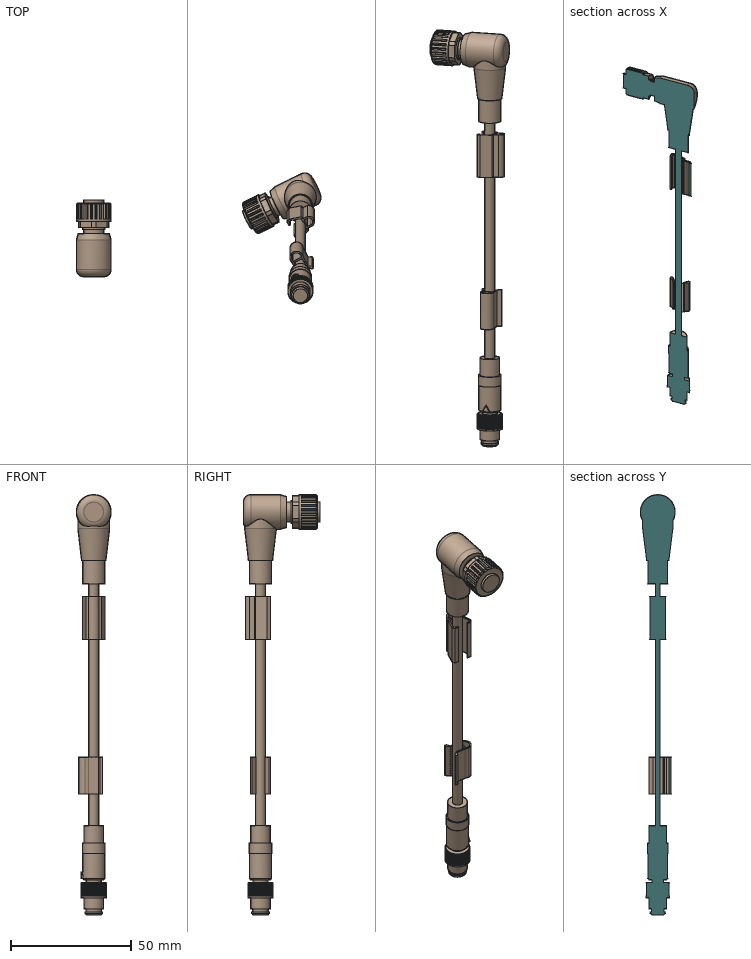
import cadquery as cq
import math

TOTAL_HEIGHT = 174.6
HEAD_DIAMETER = 14.5
HEAD_RADIUS = HEAD_DIAMETER / 2
HEAD_Z = TOTAL_HEIGHT - HEAD_RADIUS
CABLE_RADIUS = 2.1

HEAD_BACK_Y = -7.2
HEAD_BACK_FILLET = 3.1
HEAD_STRAIGHT_END_Y = 8.2
HEAD_FRONT_Y = 10.8
HEAD_FRONT_RADIUS = 6.5
HEAD_NECK_RADIUS = 4.2
PLUG_FACE_Y = 24.8

THRUST_RING_Y = 12.5
THRUST_RING_RADIUS = 4.7
COLLAR_Y = 13.3
COLLAR_RADIUS = 6.8
COLLAR_FLATS = 6
COLLAR_ACROSS_FLATS = 12.5
GRIP_Y = 15.9
GRIP_BAND = 1.0
GRIP_END_Y = 23.5
GRIP_CHAMFER = 0.5
GRIP_RIDGES = 24
GRIP_GROOVE_WIDTH = 0.9
GRIP_GROOVE_DEPTH = 0.5

BOOT_SHOULDER_Z = 160.5
BOOT_SHOULDER_RADIUS = 6.6
BOOT_TAPER_END_Z = 147.2
BOOT_TAPER_END_RADIUS = 5.0
BOOT_SLEEVE_DIAMETER = 9.3
BOOT_SLEEVE_RADIUS = BOOT_SLEEVE_DIAMETER / 2
BOOT_END_Z = 137.5

CLIP_WALL = 0.7
UPPER_CLIP_BOTTOM_Z = 114.4
UPPER_CLIP_LENGTH = 18.0
LOWER_CLIP_BOTTOM_Z = 50.3
LOWER_CLIP_LENGTH = 15.4

SLEEVE_TOP_Z = 37.2
SLEEVE_DIAMETER = 8.2
SLEEVE_RADIUS = SLEEVE_DIAMETER / 2
BODY_TOP_Z = 29.9
BODY_BAND_Z = 25.7
BODY_BAND_RADIUS = 4.7
BODY_DIAMETER = 9.3
BODY_RADIUS = BODY_DIAMETER / 2
BODY_BOTTOM_Z = 14.7
BODY_CHAMFER = 0.5
WAIST_RADIUS = 3.1
RING_TOP_Z = 13.6
RING_BOTTOM_Z = 7.2
RING_RADIUS = 5.2
RING_BAND = 0.7
RING_CHAMFER = 0.3
RING_RIDGES = 40
RING_GROOVE_WIDTH = 0.44
RING_GROOVE_DEPTH = 0.3
SPIGOT_RADIUS = SLEEVE_RADIUS
SPIGOT_END_Z = 2.6
TIP_RADIUS = 3.7
TIP_CHAMFER = 0.7
TIP_GROOVE_BOTTOM_Z = 1.4
TIP_GROOVE_DEPTH = 0.3

ARROW_TIP_Z = 18.0
ARROW_BASE_Z = BODY_BOTTOM_Z + BODY_CHAMFER
ARROW_HALF_WIDTH = 1.5
ARROW_OUTER_X = 5.2


def cylinder(radius, bottom, top):
    """Cylinder on the Z axis between two heights."""
    return cq.Workplane("XY").workplane(offset=bottom).circle(radius).extrude(top - bottom)


def knurl(blank, radius, bottom, top, count, width, depth):
    """Cut evenly spaced V grooves along Z into a round blank."""
    half_angle = width / 2 / radius
    groove_floor = radius - depth
    mouth_radius = radius + depth
    mouth_x = mouth_radius * math.cos(2 * half_angle)
    mouth_y = mouth_radius * math.sin(2 * half_angle)
    groove = (
        cq.Workplane("XY").workplane(offset=bottom)
        .polyline([(groove_floor, 0), (mouth_x, -mouth_y), (mouth_x, mouth_y)]).close()
        .extrude(top - bottom)
    )
    pitch = 360 / count
    cutters = cq.Workplane("XY")
    for index in range(count):
        cutters = cutters.add(groove.rotate((0, 0, 0), (0, 0, 1), (index + 0.5) * pitch).vals())
    return blank.cut(cq.Workplane(cq.Compound.makeCompound(cutters.vals())))


def along_head(solid):
    """Lay a solid built along +Z down so that it points along +Y at head height."""
    return solid.rotate((0, 0, 0), (1, 0, 0), -90).translate((0, 0, HEAD_Z))


def make_union_nut():
    thrust_ring = cylinder(THRUST_RING_RADIUS, THRUST_RING_Y, COLLAR_Y)
    hexagon = (
        cq.Workplane("XY").workplane(offset=COLLAR_Y)
        .polygon(COLLAR_FLATS, COLLAR_ACROSS_FLATS, circumscribed=True)
        .extrude(GRIP_Y - COLLAR_Y)
    )
    collar = cylinder(COLLAR_RADIUS, COLLAR_Y, GRIP_Y).intersect(hexagon)
    grip = cylinder(HEAD_RADIUS, GRIP_Y, GRIP_END_Y).faces(">Z").chamfer(GRIP_CHAMFER)
    grip = knurl(grip, HEAD_RADIUS, GRIP_Y + GRIP_BAND, GRIP_END_Y,
                 GRIP_RIDGES, GRIP_GROOVE_WIDTH, GRIP_GROOVE_DEPTH)
    return thrust_ring.union(collar).union(grip)


def make_head():
    shell = cylinder(HEAD_RADIUS, HEAD_BACK_Y, HEAD_STRAIGHT_END_Y)
    shell = shell.faces("<Z").edges().fillet(HEAD_BACK_FILLET)
    front = (
        cq.Workplane("XZ")
        .moveTo(0, HEAD_STRAIGHT_END_Y)
        .lineTo(HEAD_RADIUS, HEAD_STRAIGHT_END_Y)
        .lineTo(HEAD_FRONT_RADIUS, HEAD_FRONT_Y)
        .lineTo(0, HEAD_FRONT_Y)
        .close()
        .revolve(360, (0, 0, 0), (0, 1, 0))
    )
    neck = cylinder(HEAD_NECK_RADIUS, 0, PLUG_FACE_Y)
    return along_head(shell.union(front).union(neck).union(make_union_nut()))


def make_boot():
    profile = [
        (0, HEAD_Z),
        (BOOT_SHOULDER_RADIUS, HEAD_Z),
        (BOOT_SHOULDER_RADIUS, BOOT_SHOULDER_Z),
        (BOOT_TAPER_END_RADIUS, BOOT_TAPER_END_Z),
        (BOOT_SLEEVE_RADIUS, BOOT_TAPER_END_Z),
        (BOOT_SLEEVE_RADIUS, BOOT_END_Z),
        (0, BOOT_END_Z),
    ]
    return cq.Workplane("XZ").polyline(profile).close().revolve(360, (0, 0, 0), (0, 1, 0))


def mirrored_outline(side_points, front_y):
    """Closed face from the +X side points, front to back, bowed forward to front_y."""
    first_x, first_y = side_points[0]
    outline = cq.Workplane("XY").moveTo(-first_x, first_y)
    outline = outline.threePointArc((0, front_y), (first_x, first_y))
    for point in side_points[1:]:
        outline = outline.lineTo(*point)
    for x, y in reversed(side_points[1:]):
        outline = outline.lineTo(-x, y)
    return outline.close()


def make_upper_clip():
    """Holder with a bowed label pocket at the front and a box behind it, open at the back."""
    front_y = -6.3
    back_y = 4.2
    half_width = 4.7
    back_half_width = 4.0
    pocket_half_width = 2.3
    pocket_edge_y = -4.5
    pocket_back_y = -2.5
    shoulder = (3.3, -2.1)
    side_edge_y = 2.8
    opening_half_width = 2.3
    outline = mirrored_outline(
        [
            (pocket_half_width, pocket_edge_y),
            (pocket_half_width, pocket_back_y),
            shoulder,
            (half_width, side_edge_y),
            (back_half_width, back_y),
        ],
        front_y,
    )
    clip = outline.extrude(UPPER_CLIP_LENGTH)
    pocket = mirrored_outline(
        [
            (pocket_half_width - CLIP_WALL, pocket_edge_y + CLIP_WALL),
            (pocket_half_width - CLIP_WALL, pocket_back_y),
        ],
        front_y + CLIP_WALL,
    ).extrude(UPPER_CLIP_LENGTH)
    chamber_front_y = pocket_back_y + CLIP_WALL
    chamber = (
        cq.Workplane("XY")
        .polyline([
            (-shoulder[0] + CLIP_WALL, chamber_front_y),
            (shoulder[0] - CLIP_WALL, chamber_front_y),
            (half_width - CLIP_WALL, side_edge_y),
            (back_half_width - CLIP_WALL, back_y - CLIP_WALL),
            (-back_half_width + CLIP_WALL, back_y - CLIP_WALL),
            (-half_width + CLIP_WALL, side_edge_y),
        ]).close()
        .extrude(UPPER_CLIP_LENGTH)
    )
    opening = cq.Workplane("XY").rect(2 * opening_half_width, 2 * back_y).extrude(UPPER_CLIP_LENGTH)
    opening = opening.translate((0, back_y, 0))
    clip = clip.cut(pocket).cut(chamber).cut(opening)
    return clip.translate((0, 0, UPPER_CLIP_BOTTOM_Z))


def make_lower_clip():
    """Snap clip with a bowed label pocket facing -X and flared lips facing +X."""
    front_y = -6.3
    back_y = 3.7
    pocket_half_width = 2.8
    pocket_back_y = -3.7
    grip_half_width = 2.6
    neck_y = -2.1
    lip_start_y = 2.0
    lip_edge_y = 2.6
    lip_half_width = 4.2
    outline = mirrored_outline(
        [
            (pocket_half_width, pocket_back_y),
            (grip_half_width, neck_y),
            (grip_half_width, lip_start_y),
            (lip_half_width, lip_edge_y),
            (lip_half_width, back_y),
        ],
        front_y,
    )
    clip = outline.extrude(LOWER_CLIP_LENGTH)
    pocket = mirrored_outline(
        [
            (pocket_half_width - CLIP_WALL, pocket_back_y),
            (grip_half_width - CLIP_WALL, neck_y - CLIP_WALL),
        ],
        front_y + CLIP_WALL,
    ).extrude(LOWER_CLIP_LENGTH)
    opening = (
        cq.Workplane("XY")
        .polyline([
            (-grip_half_width + CLIP_WALL, neck_y),
            (grip_half_width - CLIP_WALL, neck_y),
            (grip_half_width - CLIP_WALL, lip_start_y),
            (lip_half_width - CLIP_WALL, back_y),
            (-lip_half_width + CLIP_WALL, back_y),
            (-grip_half_width + CLIP_WALL, lip_start_y),
        ]).close()
        .extrude(LOWER_CLIP_LENGTH)
    )
    clip = clip.cut(pocket).cut(opening).rotate((0, 0, 0), (0, 0, 1), -90)
    return clip.translate((0, 0, LOWER_CLIP_BOTTOM_Z))


def make_arrow():
    """Triangular pip that points up on the -X side of the connector body."""
    return (
        cq.Workplane("YZ").workplane(offset=-ARROW_OUTER_X)
        .polyline([
            (-ARROW_HALF_WIDTH, ARROW_BASE_Z),
            (ARROW_HALF_WIDTH, ARROW_BASE_Z),
            (0, ARROW_TIP_Z),
        ]).close()
        .extrude(ARROW_OUTER_X)
    )


def make_straight_connector():
    sleeve = cylinder(SLEEVE_RADIUS, BODY_TOP_Z, SLEEVE_TOP_Z)
    band = cylinder(BODY_BAND_RADIUS, BODY_BAND_Z, BODY_TOP_Z)
    body = cylinder(BODY_RADIUS, BODY_BOTTOM_Z, BODY_BAND_Z).faces("<Z").chamfer(BODY_CHAMFER)
    waist = cylinder(WAIST_RADIUS, RING_TOP_Z, BODY_BOTTOM_Z)
    ring = cylinder(RING_RADIUS, RING_BOTTOM_Z, RING_TOP_Z).faces(">Z").chamfer(RING_CHAMFER)
    ring = knurl(ring, RING_RADIUS, RING_BOTTOM_Z + RING_BAND, RING_TOP_Z,
                 RING_RIDGES, RING_GROOVE_WIDTH, RING_GROOVE_DEPTH)
    spigot = cylinder(SPIGOT_RADIUS, SPIGOT_END_Z, RING_BOTTOM_Z)
    tip = cylinder(TIP_RADIUS, 0, TIP_GROOVE_BOTTOM_Z).faces("<Z").chamfer(TIP_CHAMFER)
    tip_groove = cylinder(TIP_RADIUS - TIP_GROOVE_DEPTH, TIP_GROOVE_BOTTOM_Z, SPIGOT_END_Z)
    connector = sleeve
    for piece in (band, body, waist, ring, spigot, tip_groove, tip, make_arrow()):
        connector = connector.union(piece)
    return connector


cable = cylinder(CABLE_RADIUS, BODY_TOP_Z, BOOT_TAPER_END_Z)
result = (
    make_head()
    .union(make_boot())
    .union(cable)
    .union(make_upper_clip())
    .union(make_lower_clip())
    .union(make_straight_connector())
)